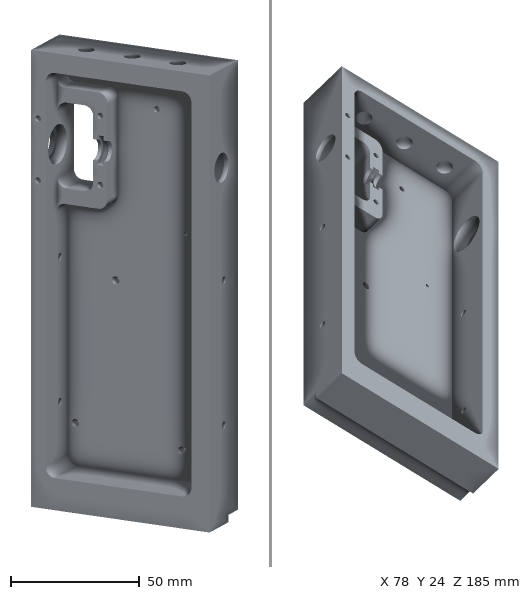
import cadquery as cq
import math

WIDTH = 78.0
DEPTH = 24.0
HEIGHT = 185.0

WALL_LEFT = 6.4
WALL_RIGHT = 8.0
WALL_TOP = 8.0
WALL_BOTTOM = 13.0
FLOOR_THICKNESS = 5.0
CORNER_RADIUS = 4.0
CAVITY_RIGHT = WIDTH - WALL_RIGHT
CAVITY_TOP = HEIGHT - WALL_TOP
FLOOR_Y = DEPTH - FLOOR_THICKNESS

SHAFT_Y = 10.0
SHAFT_Z = HEIGHT - 40.0

PAD_RIGHT = 28.1
PAD_TOP = HEIGHT - 16.6
PAD_BOTTOM = HEIGHT - 63.7
PAD_RADIUS = 4.0
PAD_FLARE_RADIUS = 3.0

WINDOW_RIGHT = 22.0
WINDOW_HEIGHT = 34.8

SHAFT_HOLE_DIAMETER = 12.0
BEARING_DIAMETER = 16.0
SEAT_LIP = 2.0
PAD_BORE_DIAMETER = 8.4
PAD_GROOVE_DIAMETER = 12.0
PAD_GROOVE_WIDTH = 3.0

SCREW_DIAMETER = 2.5
SCREW_DEPTH = 6.0
DRILL_POINT_ANGLE = 118.0
WALL_SCREW_X = 3.0
PAD_SCREW_SPACING = 28.0
WALL_SCREW_SPACING = 25.0

TOP_HOLE_DIAMETER = 6.5
TOP_HOLE_PITCH = 20.0

CROSS_HOLE_DIAMETER = 3.0
CROSS_HOLE_Y = 12.0
CROSS_HOLE_HEIGHTS = (40.3, 99.0)

FLOOR_HOLES = (
    (45.1, 162.0, 2.5),
    (57.7, 113.0, 1.6),
    (27.2, 90.4, 3.2),
    (9.6, 30.3, 3.2),
    (56.1, 25.3, 3.2),
)

REBATE_DEPTH = 8.0
REBATE_HEIGHT = 3.0


def block(x0, x1, y0, y1, z0, z1):
    """Box given by its limits along each axis."""
    return cq.Workplane("XY").box(x1 - x0, y1 - y0, z1 - z0, centered=False).translate((x0, y0, z0))


def cylinder_x(diameter, x0, x1, y, z):
    """Cylinder along X from x0 to x1."""
    return cq.Workplane("YZ", origin=(x0, y, z)).circle(diameter / 2).extrude(x1 - x0)


def cylinder_y(diameter, x, z, y0, y1):
    """Cylinder along Y from y0 to y1."""
    return cq.Workplane("XZ", origin=(x, y0, z)).circle(diameter / 2).extrude(y0 - y1)


def drilled_hole():
    """Blind screw hole running along +Y from the origin, with a conical drill point."""
    radius = SCREW_DIAMETER / 2
    tip_length = radius / math.tan(math.radians(DRILL_POINT_ANGLE / 2))
    profile = cq.Workplane("XY").lineTo(radius, 0).lineTo(radius, SCREW_DEPTH)
    profile = profile.lineTo(0, SCREW_DEPTH + tip_length).close()
    return profile.revolve(360, (0, 0, 0), (0, 1, 0))


def make_pad():
    """Pad against the left wall, with its two free corners rounded."""
    pad = block(WALL_LEFT, PAD_RIGHT, SHAFT_Y, FLOOR_Y, PAD_BOTTOM, PAD_TOP)
    return pad.edges("|Y and >X").fillet(PAD_RADIUS)


def make_cavity():
    """Space inside the walls, leaving the pad standing."""
    cavity = block(WALL_LEFT, CAVITY_RIGHT, 0, FLOOR_Y, WALL_BOTTOM, CAVITY_TOP)
    cavity = cavity.edges("|Y").fillet(CORNER_RADIUS)
    cavity = cavity.cut(make_pad())
    for z in (PAD_BOTTOM, PAD_TOP):
        corner = cq.selectors.NearestToPointSelector((WALL_LEFT, (SHAFT_Y + FLOOR_Y) / 2, z))
        cavity = cavity.edges("|Y").edges(corner).fillet(PAD_FLARE_RADIUS)
    return cavity


def make_window():
    """Rounded rectangular opening through the pad and the floor."""
    half = WINDOW_HEIGHT / 2
    window = block(WALL_LEFT, WINDOW_RIGHT, SHAFT_Y, DEPTH, SHAFT_Z - half, SHAFT_Z + half)
    return window.edges("|Y").fillet(CORNER_RADIUS)


def cut_shaft_bores(body):
    """Through bores, bearing seats in both walls and the grooved half bore in the pad."""
    groove_start = (WINDOW_RIGHT + PAD_RIGHT - PAD_GROOVE_WIDTH) / 2
    bores = (
        (SHAFT_HOLE_DIAMETER, 0, WALL_LEFT),
        (BEARING_DIAMETER, SEAT_LIP, WALL_LEFT),
        (PAD_BORE_DIAMETER, WINDOW_RIGHT, PAD_RIGHT),
        (PAD_GROOVE_DIAMETER, groove_start, groove_start + PAD_GROOVE_WIDTH),
        (BEARING_DIAMETER, CAVITY_RIGHT, WIDTH - SEAT_LIP),
        (SHAFT_HOLE_DIAMETER, CAVITY_RIGHT, WIDTH),
    )
    for diameter, x0, x1 in bores:
        body = body.cut(cylinder_x(diameter, x0, x1, SHAFT_Y, SHAFT_Z))
    return body


def cut_screw_holes(body):
    """Blind screw holes in the left wall and in the pad, paired about the shaft."""
    pad_x = (WINDOW_RIGHT + PAD_RIGHT) / 2
    for x, y, spacing in ((WALL_SCREW_X, 0, WALL_SCREW_SPACING), (pad_x, SHAFT_Y, PAD_SCREW_SPACING)):
        for side in (-1, 1):
            z = SHAFT_Z + side * spacing / 2
            body = body.cut(drilled_hole().translate((x, y, z)))
    return body


def cut_top_holes(body):
    """Row of holes from the top face into the cavity."""
    for step in (-1, 0, 1):
        centre = (WIDTH / 2 + step * TOP_HOLE_PITCH, SHAFT_Y, CAVITY_TOP)
        body = body.cut(cq.Workplane("XY", origin=centre).circle(TOP_HOLE_DIAMETER / 2).extrude(WALL_TOP))
    return body


def cut_cross_holes(body):
    """Holes through the left and right walls."""
    for z in CROSS_HOLE_HEIGHTS:
        body = body.cut(cylinder_x(CROSS_HOLE_DIAMETER, 0, WIDTH, CROSS_HOLE_Y, z))
    return body


def cut_floor_holes(body):
    """Plain holes through the cavity floor."""
    for x, z, diameter in FLOOR_HOLES:
        body = body.cut(cylinder_y(diameter, x, z, FLOOR_Y, DEPTH))
    return body


housing = block(0, WIDTH, 0, DEPTH, 0, HEIGHT)
housing = housing.cut(block(0, WIDTH, DEPTH - REBATE_DEPTH, DEPTH, 0, REBATE_HEIGHT))
housing = housing.cut(make_cavity())
housing = housing.cut(make_window())
housing = cut_shaft_bores(housing)
housing = cut_screw_holes(housing)
housing = cut_top_holes(housing)
housing = cut_cross_holes(housing)
result = cut_floor_holes(housing)